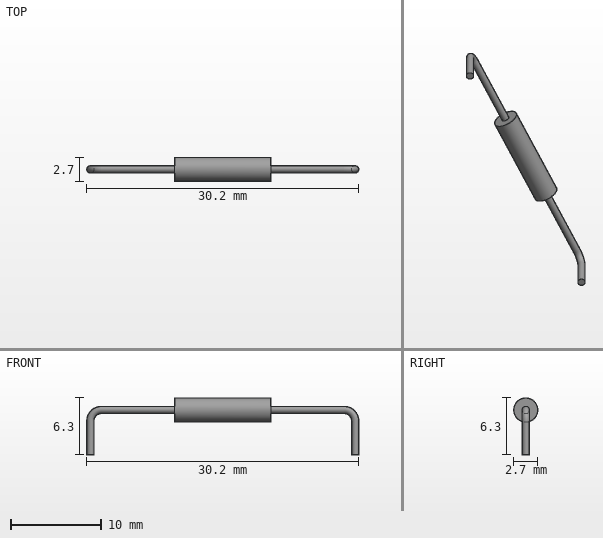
import cadquery as cq

overall_length = 30.2
overall_height = 6.3
body_diameter = 2.7
body_length = 10.65
wire_diameter = 0.82
bend_radius = 1.2

body_end = body_length / 2
leg_x = overall_length / 2 - wire_diameter / 2
leg_bottom = body_diameter / 2 - overall_height


def make_body():
    """Plain cylindrical component body, centred on the X axis."""
    return (
        cq.Workplane("YZ", origin=(-body_end, 0, 0))
        .circle(body_diameter / 2)
        .extrude(body_length)
    )


def make_lead(side):
    """Round wire from one end face of the body, bent down; side is -1 or +1 along X."""
    path = (
        cq.Workplane("XZ")
        .moveTo(side * body_end, 0)
        .lineTo(side * (leg_x - bend_radius), 0)
        .tangentArcPoint((side * leg_x, -bend_radius), relative=False)
        .lineTo(side * leg_x, leg_bottom)
    )
    return (
        cq.Workplane("YZ", origin=(side * body_end, 0, 0))
        .circle(wire_diameter / 2)
        .sweep(path)
    )


body = make_body()
leads = [make_lead(side) for side in (-1, 1)]

result = cq.Compound.makeCompound([body.val(), *[lead.val() for lead in leads]])